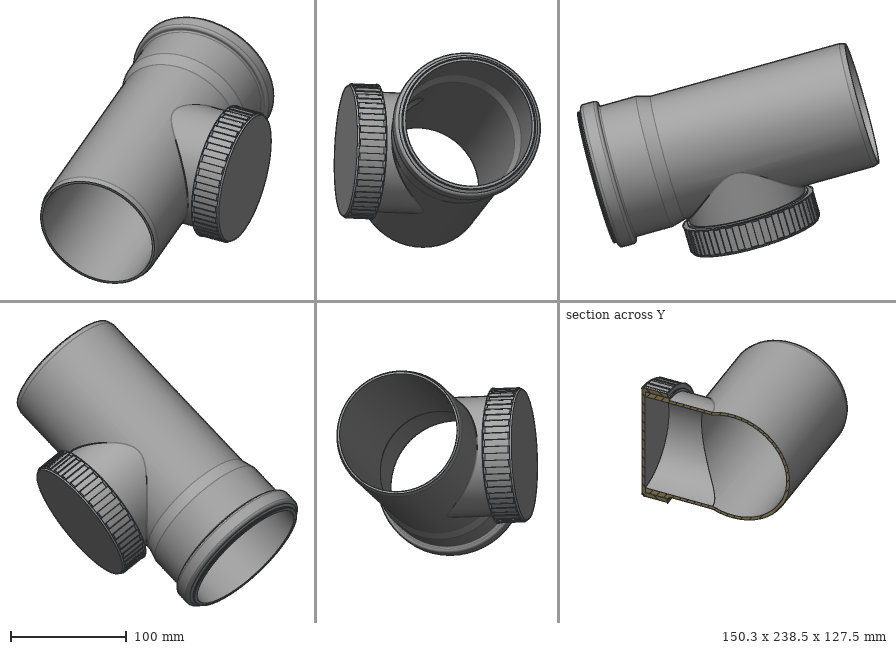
import cadquery as cq
import math

overall_length = 238.5
overall_width = 150.3
pipe_dia = 110.2
pipe_bore = 103.5
spigot_chamfer_length = 4.5
spigot_chamfer_depth = 1.5

socket_dia = 116.9
socket_bore = 111.0
taper_start = 174.0
taper_end = 186.0
bead_dia = 127.5
bead_start = 219.7
bead_end = 235.2
bead_round = 2.9
bead_root_round = 1.5
lip_dia = 117.0
lip_neck_dia = 115.5
lip_thickness = 1.0
lip_neck_length = 1.0

branch_y = 119.7
branch_dia = 103.5
branch_bore = 96.5
branch_fillet = 0.7
collar_dia = 108.0
collar_start = 60.0

cap_start = 61.5
cap_end = overall_width - bead_dia / 2
cap_wall = 3.5
flange_dia = 117.0
cap_body_dia = 114.0
cap_body_start = 63.2
cap_chamfer_length = 1.7
cap_chamfer_depth = 0.7
collar_end = cap_end - cap_wall

rib_count = 30
rib_pitch = 360 / rib_count
rib_angle = 6.0
rib_dia = 116.0
rib_end = 84.0
rib_run_out = 1.0


def branch_cylinder(diameter, start, end):
    """Solid cylinder about the branch axis, from X = start to X = end."""
    plane = cq.Workplane("YZ", origin=(start, branch_y, 0))
    return plane.circle(diameter / 2).extrude(end - start)


def revolve_about_branch(profile, degrees=360):
    """Revolve a profile drawn on the XY plane about the branch axis."""
    return profile.revolve(degrees, (0, branch_y, 0), (1, branch_y, 0))


def make_pipe_outside():
    """Solid of revolution with spigot, taper, socket, bead and lip."""
    pipe_r = pipe_dia / 2
    socket_r = socket_dia / 2
    bead_r = bead_dia / 2
    lip_r = lip_dia / 2
    lip_neck_r = lip_neck_dia / 2
    lip_start = overall_length - lip_thickness
    corner = bead_round * (1 - math.sqrt(0.5))
    root = bead_root_round * (1 - math.sqrt(0.5))
    profile = (
        cq.Workplane("XY")
        .lineTo(pipe_r - spigot_chamfer_depth, 0)
        .lineTo(pipe_r, spigot_chamfer_length)
        .lineTo(pipe_r, taper_start)
        .lineTo(socket_r, taper_end)
        .lineTo(socket_r, bead_start - bead_root_round)
        .threePointArc((socket_r + root, bead_start - root), (socket_r + bead_root_round, bead_start))
        .lineTo(bead_r - bead_round, bead_start)
        .threePointArc((bead_r - corner, bead_start + corner), (bead_r, bead_start + bead_round))
        .lineTo(bead_r, bead_end - bead_round)
        .threePointArc((bead_r - corner, bead_end - corner), (bead_r - bead_round, bead_end))
        .lineTo(lip_r, lip_start - lip_neck_length)
        .lineTo(lip_neck_r, lip_start - lip_neck_length)
        .lineTo(lip_neck_r, lip_start)
        .lineTo(lip_r, lip_start)
        .lineTo(lip_r, overall_length)
        .lineTo(0, overall_length)
        .close()
    )
    return profile.revolve(360, (0, 0, 0), (0, 1, 0))


def make_pipe_bore():
    """Bore that widens to the socket over the length of the outer taper."""
    profile = (
        cq.Workplane("XY")
        .lineTo(pipe_bore / 2, 0)
        .lineTo(pipe_bore / 2, taper_start)
        .lineTo(socket_bore / 2, taper_end)
        .lineTo(socket_bore / 2, overall_length)
        .lineTo(0, overall_length)
        .close()
    )
    return profile.revolve(360, (0, 0, 0), (0, 1, 0))


def make_pipe():
    """Main pipe with its branch, filleted where they join; the branch collar enters the cap."""
    branch = branch_cylinder(branch_dia, 0, collar_start)
    collar = branch_cylinder(collar_dia, collar_start, collar_end)
    outside = make_pipe_outside().union(branch)
    branch_r = branch_dia / 2
    joint_region = cq.selectors.BoxSelector(
        (0, branch_y - branch_r, -branch_r),
        (pipe_dia / 2, branch_y + branch_r, branch_r),
    )
    outside = outside.edges(joint_region).fillet(branch_fillet)
    outside = outside.union(collar)
    return outside.cut(make_pipe_bore()).cut(branch_cylinder(branch_bore, 0, collar_end))


def make_cap_blank():
    """Solid cap with a flange edge, its slope to the body and the end chamfer."""
    body_r = cap_body_dia / 2
    profile = (
        cq.Workplane("XY")
        .moveTo(cap_start, branch_y)
        .lineTo(cap_start, branch_y + flange_dia / 2)
        .lineTo(cap_body_start, branch_y + body_r)
        .lineTo(cap_end - cap_chamfer_length, branch_y + body_r)
        .lineTo(cap_end, branch_y + body_r - cap_chamfer_depth)
        .lineTo(cap_end, branch_y)
        .close()
    )
    return revolve_about_branch(profile)


def make_rib():
    """One grip rib: a ring sector centred on the +Z side, sloped at its outer end."""
    inner_r = collar_dia / 2
    root_r = cap_body_dia / 2
    rib_r = rib_dia / 2
    profile = (
        cq.Workplane("XY")
        .moveTo(cap_start, branch_y + inner_r)
        .lineTo(cap_start, branch_y + rib_r)
        .lineTo(rib_end, branch_y + rib_r)
        .lineTo(rib_end + rib_run_out, branch_y + root_r)
        .lineTo(rib_end + rib_run_out, branch_y + inner_r)
        .close()
    )
    sector = revolve_about_branch(profile, rib_angle)
    return sector.rotate((0, branch_y, 0), (1, branch_y, 0), 90 - rib_angle / 2)


def make_cap():
    """Closed cap with grip ribs; its recess fits the branch collar."""
    cap = make_cap_blank()
    rib = make_rib()
    for index in range(rib_count):
        cap = cap.union(rib.rotate((0, branch_y, 0), (1, branch_y, 0), index * rib_pitch))
    return cap.cut(branch_cylinder(collar_dia, cap_start, collar_end))


pipe = make_pipe()
cap = make_cap()

result = cq.Compound.makeCompound([pipe.val(), cap.val()])